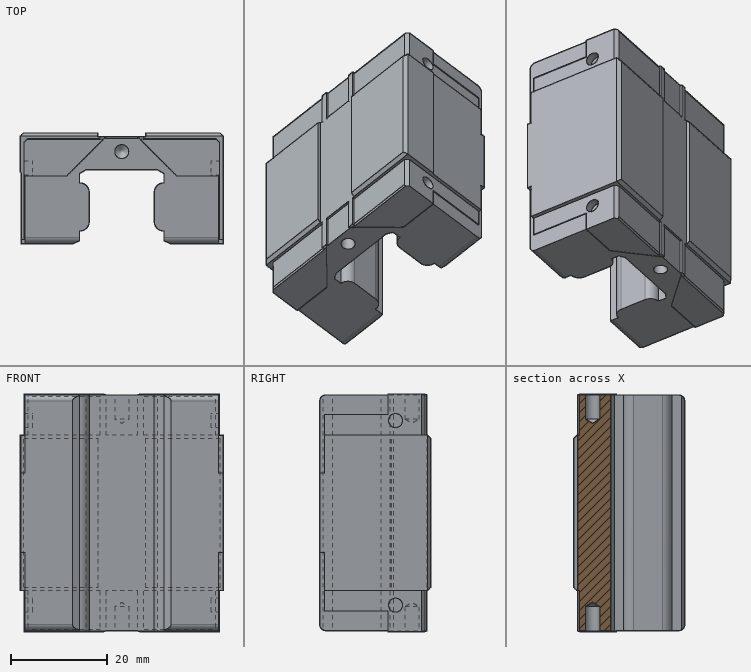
import cadquery as cq
import math


BLOCK_WIDTH = 42.0
BLOCK_HEIGHT = 23.0
BLOCK_LENGTH = 32.2
BLOCK_CHAMFER = 0.7
TOP_GROOVE_WIDTH = 9.9
DATUM_RELIEF = 0.2
DATUM_FACE_BOTTOM = 14.9
SKIRT_HEIGHT = 0.96
SKIRT_LENGTH = 16.5

SEAL_WIDTH = 40.0
SEAL_LENGTH = 48.8
SEAL_END_RADIUS = 1.3

CAP_WIDTH = 40.35
CAP_HEIGHT = 21.8
CAP_LENGTH = 49.2
CAP_CORNER_CHAMFER = 0.75
RIB_HEIGHT = 22.2
RIB_OUTER_WIDTH = 9.0
CAP_EDGE_DROP = 0.5
CAP_EDGE_SETBACK = 0.2
CAP_PAD_BOTTOM = 14.1
CAP_PAD_INNER_X = 11.35
CAP_LEG_LENGTH = 40.7

OPENING_HALF_WIDTH = 8.7
OPENING_TOP = 15.3
OPENING_TOP_CORNER_X = 7.4
OPENING_TOP_CORNER_Y = 14.55
MOUTH_CHAMFER_WIDTH = 1.5
MOUTH_CHAMFER_HEIGHT = 0.65
LIP_HALF_GAP = 6.7
LIP_BOTTOM = 2.65
LIP_TOP = 12.65
LIP_RADIUS = OPENING_HALF_WIDTH - LIP_HALF_GAP

END_HOLE_DIAMETER = 2.9
END_HOLE_HEIGHT = 19.1
END_HOLE_DEPTH = 5.0
DRILL_POINT_ANGLE = 118.0
SIDE_HOLE_DIAMETER = 2.9
SIDE_HOLE_HEIGHT = 15.7
SIDE_HOLE_Z = 19.1
SIDE_HOLE_DEPTH = 1.7


def box(x_range, y_range, z_range):
    """Axis-aligned box from three (low, high) pairs."""
    sizes = [high - low for low, high in (x_range, y_range, z_range)]
    corner = (x_range[0], y_range[0], z_range[0])
    return cq.Workplane("XY").box(*sizes, centered=False).translate(corner)


def centered_box(width, y_range, length):
    """Box centred on X and Z."""
    return box((-width / 2, width / 2), y_range, (-length / 2, length / 2))


def mirrored_ends(shape):
    """The shape together with its mirror image at the other end."""
    return shape.union(shape.mirror("XY"))


def make_block():
    block = centered_box(BLOCK_WIDTH, (0, BLOCK_HEIGHT), BLOCK_LENGTH)
    block = block.faces(">Y").edges().chamfer(BLOCK_CHAMFER)
    groove = centered_box(TOP_GROOVE_WIDTH, (RIB_HEIGHT, BLOCK_HEIGHT), BLOCK_LENGTH)
    outer_x = -BLOCK_WIDTH / 2
    inner_x = outer_x + DATUM_RELIEF
    relief = (
        cq.Workplane("XY")
        .workplane(offset=-BLOCK_LENGTH / 2)
        .moveTo(outer_x, 0)
        .lineTo(inner_x, 0)
        .lineTo(inner_x, DATUM_FACE_BOTTOM - DATUM_RELIEF)
        .lineTo(outer_x, DATUM_FACE_BOTTOM)
        .close()
        .extrude(BLOCK_LENGTH)
    )
    notch = box(
        (-BLOCK_WIDTH / 2, BLOCK_WIDTH / 2),
        (0, SKIRT_HEIGHT),
        (SKIRT_LENGTH / 2, BLOCK_LENGTH / 2),
    )
    return block.cut(groove).cut(relief).cut(mirrored_ends(notch))


def make_seal():
    """Lower body of both seals; the cap carries on above it."""
    body = centered_box(SEAL_WIDTH, (0, CAP_PAD_BOTTOM), SEAL_LENGTH)
    return body.faces("<Y").edges("|X").fillet(SEAL_END_RADIUS)


def chamfer_end_edge(shape):
    """Chamfer the edge between the top face and the +Z end face."""
    return shape.faces(">Y").edges(">Z").chamfer(CAP_EDGE_SETBACK, CAP_EDGE_DROP)


def make_cap():
    """End cap at +Z: a chamfered body with top ribs, legs and two proud pads."""
    block_end = BLOCK_LENGTH / 2
    cap_end = CAP_LENGTH / 2
    half_width = CAP_WIDTH / 2
    body = box((-half_width, half_width), (CAP_PAD_BOTTOM, CAP_HEIGHT), (0, cap_end))
    body = body.edges("|Z and >Y").chamfer(CAP_CORNER_CHAMFER)
    body = chamfer_end_edge(body)
    legs = box(
        (-half_width, half_width),
        (SKIRT_HEIGHT, CAP_PAD_BOTTOM),
        (block_end, CAP_LEG_LENGTH / 2),
    )
    recess_top_x = CAP_PAD_INNER_X - (RIB_HEIGHT - CAP_PAD_BOTTOM)
    recess = (
        cq.Workplane("XY")
        .workplane(offset=SEAL_LENGTH / 2)
        .moveTo(-CAP_PAD_INNER_X, CAP_PAD_BOTTOM)
        .lineTo(CAP_PAD_INNER_X, CAP_PAD_BOTTOM)
        .lineTo(recess_top_x, RIB_HEIGHT)
        .lineTo(-recess_top_x, RIB_HEIGHT)
        .close()
        .extrude(cap_end)
    )
    ribs = box(
        (-RIB_OUTER_WIDTH / 2, RIB_OUTER_WIDTH / 2),
        (CAP_PAD_BOTTOM, RIB_HEIGHT),
        (block_end, cap_end),
    )
    ribs = chamfer_end_edge(ribs)
    channel = box((-recess_top_x, recess_top_x), (CAP_HEIGHT, RIB_HEIGHT), (block_end, cap_end))
    return body.union(ribs).cut(recess).cut(channel).union(legs)


def make_opening():
    """Cutter for the rail opening: one half outline, mirrored about X = 0."""
    half = (
        cq.Workplane("XY")
        .workplane(offset=-CAP_LENGTH / 2)
        .moveTo(0, 0)
        .lineTo(OPENING_HALF_WIDTH + MOUTH_CHAMFER_WIDTH, 0)
        .lineTo(OPENING_HALF_WIDTH, MOUTH_CHAMFER_HEIGHT)
        .lineTo(OPENING_HALF_WIDTH, LIP_BOTTOM)
        .radiusArc((LIP_HALF_GAP, LIP_BOTTOM + LIP_RADIUS), LIP_RADIUS)
        .lineTo(LIP_HALF_GAP, LIP_TOP - LIP_RADIUS)
        .radiusArc((OPENING_HALF_WIDTH, LIP_TOP), LIP_RADIUS)
        .lineTo(OPENING_HALF_WIDTH, OPENING_TOP_CORNER_Y)
        .lineTo(OPENING_TOP_CORNER_X, OPENING_TOP)
        .lineTo(0, OPENING_TOP)
        .close()
        .extrude(CAP_LENGTH)
    )
    return half.union(half.mirror("YZ"))


def make_end_hole():
    """Drilled hole with a conical bottom in the +Z end."""
    radius = END_HOLE_DIAMETER / 2
    point_depth = radius / math.tan(math.radians(DRILL_POINT_ANGLE / 2))
    profile = (
        cq.Workplane("XZ")
        .moveTo(0, 0)
        .lineTo(radius, 0)
        .lineTo(radius, -END_HOLE_DEPTH)
        .lineTo(0, -END_HOLE_DEPTH - point_depth)
        .close()
    )
    hole = profile.revolve(360, (0, 0, 0), (0, 1, 0))
    return hole.translate((0, END_HOLE_HEIGHT, SEAL_LENGTH / 2))


def make_side_holes():
    """Shallow flat-bottomed holes in both sides of the +Z cap."""
    hole = (
        cq.Workplane("YZ")
        .workplane(offset=CAP_WIDTH / 2 - SIDE_HOLE_DEPTH)
        .center(SIDE_HOLE_HEIGHT, SIDE_HOLE_Z)
        .circle(SIDE_HOLE_DIAMETER / 2)
        .extrude(SIDE_HOLE_DEPTH)
    )
    return hole.union(hole.mirror("YZ"))


result = (
    make_block()
    .union(make_seal())
    .union(mirrored_ends(make_cap()))
    .cut(make_opening())
    .cut(mirrored_ends(make_end_hole()))
    .cut(mirrored_ends(make_side_holes()))
)